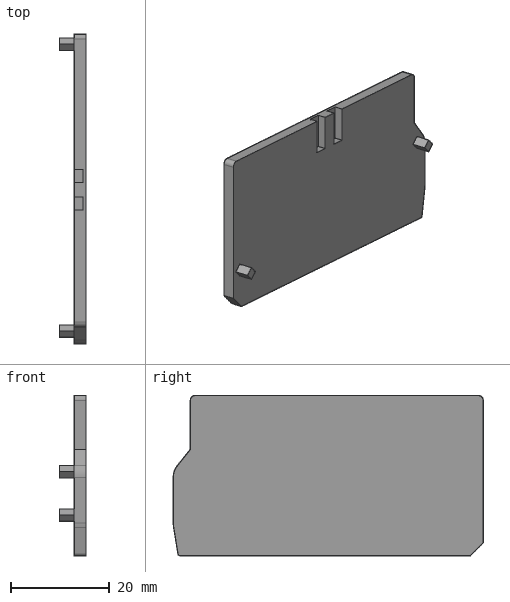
import cadquery as cq

length = 62.95
height = 32.55
thickness = 2.45

nose_setback = 3.45
shoulder_z = 21.6
nose_z = 17.25
nose_radius = 3.8
toe_z = 6.2
toe_setback = 1.0
toe_blend_radius = 5.65
toe_corner_radius = 0.45
heel_chamfer = 2.65
top_corner_radius = 1.0

slot_width = 2.65
slot_height = 6.85
slot_depth = 1.75
first_slot_y = 28.6
slot_spacing = 5.55
slot_count = 2

pin_diagonal = 2.6
pin_length = 3.0
pin_centres = [(2.65, 17.05), (60.85, 8.25)]


def round_corner(body, y, z, radius):
    """Round the outline edge that runs along X through (y, z)."""
    edge = cq.selectors.NearestToPointSelector((thickness / 2, y, z))
    return body.edges(edge).fillet(radius)


def make_plate():
    outline = [
        (toe_setback, 0),
        (0, toe_z),
        (0, nose_z),
        (nose_setback, shoulder_z),
        (nose_setback, height),
        (length, height),
        (length, heel_chamfer),
        (length - heel_chamfer, 0),
    ]
    plate = cq.Workplane("YZ").polyline(outline).close().extrude(thickness)
    plate = round_corner(plate, 0, nose_z, nose_radius)
    plate = round_corner(plate, 0, toe_z, toe_blend_radius)
    plate = round_corner(plate, toe_setback, 0, toe_corner_radius)
    for y in (nose_setback, length):
        plate = round_corner(plate, y, height, top_corner_radius)
    return plate


def make_slot(y):
    return cq.Workplane("XY").box(
        slot_depth, slot_width, slot_height, centered=(False, True, False)
    ).translate((0, y, height - slot_height))


def make_pin(y, z):
    return cq.Workplane("YZ").center(y, z).polygon(4, pin_diagonal).extrude(-pin_length)


result = make_plate()
for index in range(slot_count):
    result = result.cut(make_slot(first_slot_y + index * slot_spacing))
for pin_y, pin_z in pin_centres:
    result = result.union(make_pin(pin_y, pin_z))